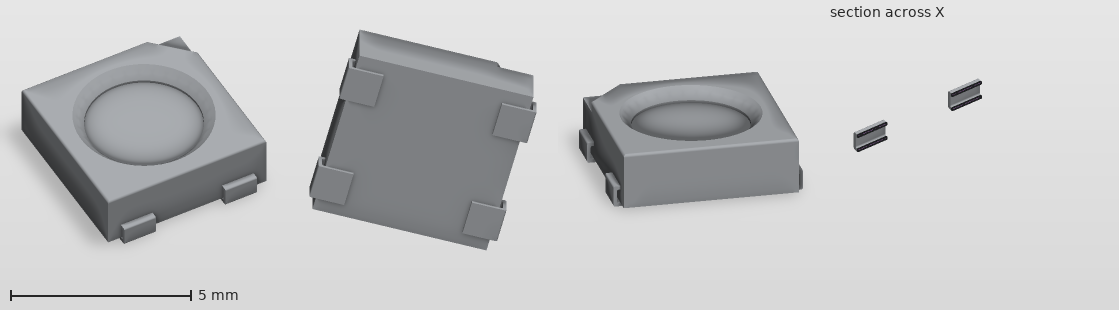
import cadquery as cq

body_side = 5.0
body_height = 1.6
top_edge_radius = 0.08

notch_leg = 1.035
notch_height = 0.32

cavity_top_diameter = 3.975
cavity_floor_diameter = 3.33
cone_depth = 0.32
cavity_depth = 0.4

lead_thickness = 0.1
lead_width = 1.0
lead_height = 0.6
lead_overhang = 0.2
lead_foot_length = 1.0
lead_pitch = 3.2
lead_corner_radius = 0.05

half_side = body_side / 2
body_bottom = lead_thickness
body_top = body_bottom + body_height
lead_outer_x = half_side + lead_overhang
lead_inner_x = lead_outer_x - lead_thickness
lead_foot_end_x = lead_outer_x - lead_foot_length
lead_flange_bottom = lead_height - lead_thickness


def make_body():
    """Square block with one top corner stepped down and a rounded top rim."""
    block = cq.Workplane("XY", origin=(0, 0, body_bottom)).rect(body_side, body_side).extrude(body_height)
    notch = (
        cq.Workplane("XY", origin=(0, 0, body_top - notch_height))
        .moveTo(-half_side, half_side)
        .lineTo(-half_side + notch_leg, half_side)
        .lineTo(-half_side, half_side - notch_leg)
        .close()
        .extrude(notch_height)
    )
    return block.cut(notch).faces(">Z").edges().fillet(top_edge_radius)


def make_cavity():
    """Volume of the cavity, revolved about the Z axis."""
    top_radius = cavity_top_diameter / 2
    floor_radius = cavity_floor_diameter / 2
    floor_z = body_top - cavity_depth
    return (
        cq.Workplane("XZ")
        .moveTo(0, floor_z)
        .lineTo(floor_radius, floor_z)
        .lineTo(floor_radius, body_top - cone_depth)
        .lineTo(top_radius, body_top)
        .lineTo(0, body_top)
        .close()
        .revolve(360, (0, 0, 0), (0, 1, 0))
    )


def make_lead(center_y):
    """Lead on the +X side: foot under the body, upright wall, and top flange meeting the body."""
    lead = (
        cq.Workplane("XZ", origin=(0, center_y, 0))
        .moveTo(lead_foot_end_x, 0)
        .lineTo(lead_outer_x, 0)
        .lineTo(lead_outer_x, lead_height)
        .lineTo(half_side, lead_height)
        .lineTo(half_side, lead_flange_bottom)
        .lineTo(lead_inner_x, lead_flange_bottom)
        .lineTo(lead_inner_x, lead_thickness)
        .lineTo(lead_foot_end_x, lead_thickness)
        .close()
        .extrude(lead_width / 2, both=True)
    )
    bend_corners = (
        (lead_outer_x, 0),
        (lead_outer_x, lead_height),
        (lead_inner_x, lead_thickness),
        (lead_inner_x, lead_flange_bottom),
    )
    for corner_x, corner_z in bend_corners:
        corner_edge = cq.NearestToPointSelector((corner_x, center_y, corner_z))
        lead = lead.edges(corner_edge).fillet(lead_corner_radius)
    return lead


result = make_body().cut(make_cavity())
for side in (-1, 1):
    right_lead = make_lead(side * lead_pitch / 2)
    left_lead = right_lead.mirror("YZ")
    result = result.union(right_lead).union(left_lead)